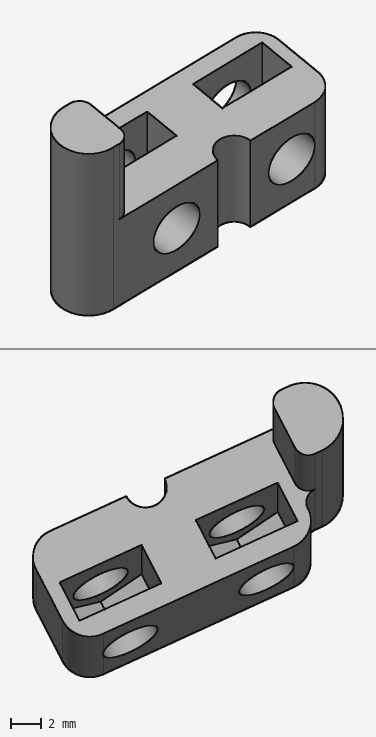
import cadquery as cq
import math

length = 22.0
width = 8.0
post_height = 15.0
body_height = 8.0

post_depth = 4.0
post_corner = 1.0
body_corner = 2.0
post_left = body_corner + post_corner
post_radius = (width - post_left) / 2
post_center_x = width - post_radius

hole_diameter = 4.0
hole_z = body_height / 2
nut_flats = 6.0
nut_corner_radius = nut_flats / math.sqrt(3)
pocket_left = 1.5
pocket_width = 3.0
hole_end_distance = 4.0
hole_centers_y = (post_depth + hole_end_distance, length - hole_end_distance)

notch_radius = 1.4
notch_y = sum(hole_centers_y) / 2

diagonal = math.sqrt(0.5)


def make_body():
    """Clamp body, blended into the post by a concave fillet at its -Y end."""
    blend_y = post_depth - post_corner
    block = (
        cq.Workplane("XY")
        .box(width, length - post_depth, body_height, centered=False)
        .translate((0, post_depth, 0))
        .edges("|Z and (<X or >Y)")
        .fillet(body_corner)
    )
    web = (
        cq.Workplane("XY")
        .moveTo(body_corner, post_depth)
        .threePointArc(
            (body_corner + post_corner * diagonal, blend_y + post_corner * diagonal),
            (post_left, blend_y),
        )
        .lineTo(post_left, post_radius)
        .lineTo(width, post_radius)
        .lineTo(width, post_depth)
        .close()
        .extrude(body_height)
    )
    return block.union(web)


def make_post():
    """Tall post with a half-round -Y side and two rounded +Y corners."""
    return (
        cq.Workplane("XY")
        .moveTo(post_left, post_radius)
        .threePointArc((post_center_x, 0), (width, post_radius))
        .lineTo(width, post_depth)
        .lineTo(post_left, post_depth)
        .close()
        .extrude(post_height)
        .edges("|Z and >Y")
        .fillet(post_corner)
    )


def make_nut_pocket(center_y):
    """Open-topped slot whose V floor fits the lower half of a hex nut."""
    half_flats = nut_flats / 2
    shoulder_z = hole_z - nut_corner_radius / 2
    return (
        cq.Workplane("YZ", origin=(pocket_left, 0, 0))
        .moveTo(center_y - half_flats, body_height)
        .lineTo(center_y - half_flats, shoulder_z)
        .lineTo(center_y, hole_z - nut_corner_radius)
        .lineTo(center_y + half_flats, shoulder_z)
        .lineTo(center_y + half_flats, body_height)
        .close()
        .extrude(pocket_width)
    )


def make_cross_hole(center_y):
    """Round hole through the full width of the body."""
    return (
        cq.Workplane("YZ")
        .center(center_y, hole_z)
        .circle(hole_diameter / 2)
        .extrude(width)
    )


notch = cq.Workplane("XY").center(width, notch_y).circle(notch_radius).extrude(body_height)

result = make_body().union(make_post()).cut(notch)
for hole_y in hole_centers_y:
    result = result.cut(make_nut_pocket(hole_y)).cut(make_cross_hole(hole_y))